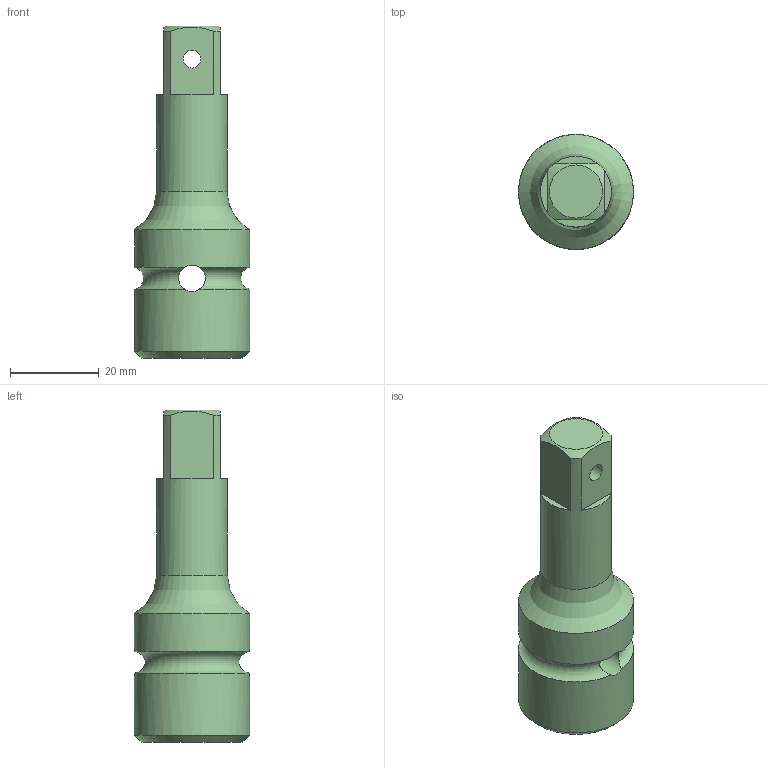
import cadquery as cq
import math

total_length = 75.0

body_radius = 13.0
body_top = 29.0
bottom_chamfer = 1.5

groove_height = 18.0
groove_radius = 2.5
groove_center_radius = 13.5
pin_hole_diameter = 6.0

shank_radius = 8.0
flare_radius = 10.0

square_width = 12.8
square_length = 15.5
tip_flat_radius = 6.0
tip_angle = 30.0
detent_hole_diameter = 4.0
detent_hole_depth_from_tip = 7.5

flare_center_radius = shank_radius + flare_radius
flare_height = math.sqrt(flare_radius**2 - (flare_center_radius - body_radius) ** 2)
flare_top = body_top + flare_height
flare_half_angle = math.asin(flare_height / flare_radius) / 2
flare_mid = (
    flare_center_radius - flare_radius * math.cos(flare_half_angle),
    flare_top - flare_radius * math.sin(flare_half_angle),
)
tip_drop = (shank_radius - tip_flat_radius) * math.tan(math.radians(tip_angle))
square_base = total_length - square_length


def turned_body():
    """Revolve the chamfered body, the flare, the shank and the conical tip."""
    profile = (
        cq.Workplane("XZ")
        .moveTo(0, 0)
        .lineTo(body_radius - bottom_chamfer, 0)
        .lineTo(body_radius, bottom_chamfer)
        .lineTo(body_radius, body_top)
        .threePointArc(flare_mid, (shank_radius, flare_top))
        .lineTo(shank_radius, total_length - tip_drop)
        .lineTo(tip_flat_radius, total_length)
        .lineTo(0, total_length)
        .close()
    )
    return profile.revolve(360, (0, 0, 0), (0, 1, 0))


def ring_groove():
    """Torus that leaves a round-bottomed groove in the body."""
    section = cq.Workplane("XZ").center(groove_center_radius, groove_height).circle(groove_radius)
    return section.revolve(360, (-groove_center_radius, 0, 0), (-groove_center_radius, 1, 0))


def square_end_waste():
    """Material around the square drive, removed to leave four flats."""
    clearance_width = 2 * body_radius
    return (
        cq.Workplane("XY", origin=(0, 0, square_base))
        .rect(clearance_width, clearance_width)
        .rect(square_width, square_width)
        .extrude(square_length)
    )


def cross_hole(diameter, height):
    """Cylinder along Y that passes through the whole part at the given height."""
    section = cq.Workplane("XZ").center(0, height).circle(diameter / 2)
    return section.extrude(body_radius, both=True)


result = (
    turned_body()
    .cut(ring_groove())
    .cut(square_end_waste())
    .cut(cross_hole(pin_hole_diameter, groove_height))
    .cut(cross_hole(detent_hole_diameter, total_length - detent_hole_depth_from_tip))
)